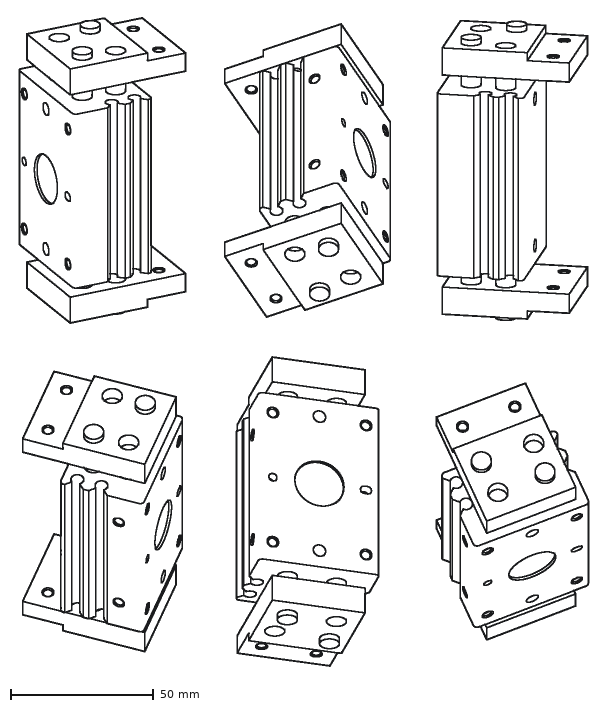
import cadquery as cq
import math


total_height = 102.0
total_depth = 46.5

body_width = 44.0
body_depth = 31.0
body_height = 67.0
corner_radius = 1.5

groove_centers_y = (16.7, 25.7)
groove_mouth_width = 6.9
groove_neck_width = 2.9
groove_channel_diameter = 4.5

plate_width = 34.0
plate_front_y = 1.0
plate_thickness = 10.0
lip_length = 15.0
lip_thickness = 7.0
lip_hole_spacing = 20.0
lip_hole_inset = 7.0

rod_diameter = 7.0
rod_tip_height = 2.0
rod_socket_depth = plate_thickness / 2
front_rod_x = 9.0
front_rod_y = 9.8
back_rod_x = 10.0
back_rod_y = 22.4

thread_diameter = 3.3
thread_mouth_diameter = 4.2
thread_depth = 6.1
drill_tip_angle = 118.0

front_hole_x = 17.0
front_thread_spacing_z = 52.0
through_hole_diameter = 4.5
through_hole_spacing_z = 54.0
dowel_diameter = 3.0
dowel_slot_length = 4.0
dowel_depth = 4.1
recess_diameter = 18.0
recess_depth = 1.0

port_y = 9.0
port_spacing_z = 42.0

thread_mouth_depth = (thread_mouth_diameter - thread_diameter) / 2
plate_outer_z = total_height / 2 - rod_tip_height
plate_inner_z = plate_outer_z - plate_thickness


def rod(x, y, bottom, top):
    """Vertical cylinder of the rod diameter between two heights."""
    return cq.Workplane("XY", origin=(x, y, bottom)).circle(rod_diameter / 2).extrude(top - bottom)


def side_groove(side, center_y):
    """Cutter for one full-height groove in the +X (side = 1) or -X (side = -1) face."""
    half_mouth = groove_mouth_width / 2
    half_neck = groove_neck_width / 2
    channel_radius = groove_channel_diameter / 2
    face_x = body_width / 2
    neck_x = face_x - (half_mouth - half_neck)
    channel_x = neck_x - math.sqrt(channel_radius**2 - half_neck**2)
    return (
        cq.Workplane("XY", origin=(0, 0, -body_height / 2))
        .moveTo(side * face_x, center_y - half_mouth)
        .lineTo(side * neck_x, center_y - half_neck)
        .threePointArc(
            (side * (channel_x - channel_radius), center_y),
            (side * neck_x, center_y + half_neck),
        )
        .lineTo(side * face_x, center_y + half_mouth)
        .close()
        .extrude(body_height)
    )


def threaded_holes(face):
    """Cutters for blind holes with a 45 degree mouth and a pointed end, one per point on the face."""
    radius = thread_diameter / 2
    mouth_radius = thread_mouth_diameter / 2
    tip_depth = thread_depth + radius / math.tan(math.radians(drill_tip_angle / 2))
    cutter = (
        cq.Workplane("XZ")
        .polyline(
            [
                (0, 0),
                (mouth_radius, 0),
                (radius, -thread_mouth_depth),
                (radius, -thread_depth),
                (0, -tip_depth),
            ]
        )
        .close()
        .revolve(360, (0, 0), (0, 1))
        .val()
    )
    return face.eachpoint(lambda location: cutter.moved(location), useLocalCoordinates=True)


def make_body():
    """Extruded body with rounded corners, side grooves, front face features and side ports."""
    body = (
        cq.Workplane("XY")
        .box(body_width, body_depth, body_height)
        .translate((0, body_depth / 2, 0))
        .edges("|Z")
        .fillet(corner_radius)
    )
    for side in (-1, 1):
        for center_y in groove_centers_y:
            body = body.cut(side_groove(side, center_y))

    front = cq.Workplane("XZ")
    body = body.cut(threaded_holes(front.rarray(2 * front_hole_x, front_thread_spacing_z, 2, 2)))
    body = body.cut(
        front.rarray(1, through_hole_spacing_z, 1, 2).circle(through_hole_diameter / 2).extrude(-body_depth)
    )
    body = body.cut(front.circle(recess_diameter / 2).extrude(-recess_depth))
    body = body.cut(front.center(-front_hole_x, 0).circle(dowel_diameter / 2).extrude(-dowel_depth))
    dowel_slot = front.center(front_hole_x, 0).slot2D(dowel_slot_length, dowel_diameter)
    body = body.cut(dowel_slot.extrude(-dowel_depth))

    side_plane = cq.Plane(origin=(-body_width / 2, port_y, 0), xDir=(0, -1, 0), normal=(-1, 0, 0))
    ports = cq.Workplane(side_plane).rarray(1, port_spacing_z, 1, 2)
    return body.cut(threaded_holes(ports))


def make_top_end():
    """Top end plate with its rods, from the top of the body to the rod tips."""
    lip_y = total_depth - lip_length
    lip_top_z = plate_inner_z + lip_thickness
    plate = (
        cq.Workplane("YZ")
        .polyline(
            [
                (plate_front_y, plate_inner_z),
                (total_depth, plate_inner_z),
                (total_depth, lip_top_z),
                (lip_y, lip_top_z),
                (lip_y, plate_outer_z),
                (plate_front_y, plate_outer_z),
            ]
        )
        .close()
        .extrude(plate_width / 2, both=True)
    )
    lip_hole_y = total_depth - lip_hole_inset
    lip_holes = (
        cq.Workplane("XY", origin=(0, lip_hole_y, plate_inner_z))
        .rarray(lip_hole_spacing, 1, 2, 1)
        .circle(thread_diameter / 2)
        .extrude(lip_thickness)
    )
    plate = plate.cut(lip_holes)
    plate = plate.edges("%CIRCLE").chamfer(thread_mouth_depth)

    body_top_z = body_height / 2
    for x, y in ((front_rod_x, front_rod_y), (-back_rod_x, back_rod_y)):
        plate = plate.union(rod(x, y, body_top_z, total_height / 2))

    socket_z = plate_outer_z - rod_socket_depth
    for x, y in ((-front_rod_x, front_rod_y), (back_rod_x, back_rod_y)):
        plate = plate.union(rod(x, y, body_top_z, plate_inner_z))
        plate = plate.cut(rod(x, y, socket_z, plate_outer_z))
    return plate


top_end = make_top_end()

bottom_end = top_end.rotate((0, 0, 0), (0, 1, 0), 180)

result = make_body().union(top_end).union(bottom_end)